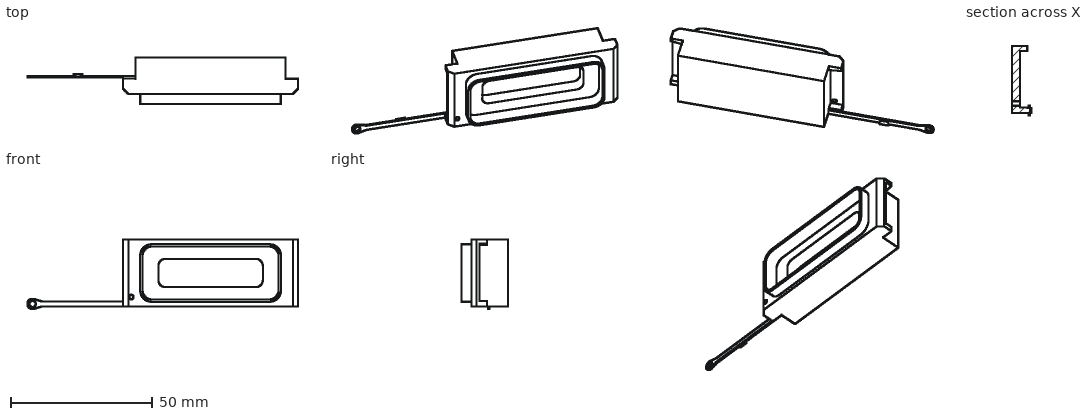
import cadquery as cq
import math

height = 23.8
flange_width = 62.0
flange_thickness = 5.5
flange_chamfer = 1.9
body_width = 53.2
body_back = 13.0

collar_projection = 3.5
collar_width = 49.85
collar_height = 20.4
collar_radius = 4.1
collar_wall = 0.85
recess_depth = 5.05
window_width = 37.0
window_height = 10.0
window_radius = 2.5
window_depth = 4.8

pocket_depth = 2.6
pocket_margin = 2.05
pocket_mouth_margin = 1.4

lace_hole_diameter = 1.5
lace_hole_x = -28.05
lace_hole_z = 3.4

strap_length = 33.85
strap_height = 1.9
strap_front = 5.9
strap_back = 6.45
eyelet_radius = 1.82
eyelet_hole_diameter = 2.2
eyelet_neck_length = 3.3

stud_offset = 15.95
stud_base_width = 1.8
stud_top_width = 3.3
stud_projection = 0.6

flange_left = -flange_width / 2
body_left = -body_width / 2
mid_z = height / 2
strap_mid_z = strap_height / 2
eyelet_x = flange_left - strap_length + eyelet_radius


def rounded_block(width, block_height, radius, front, back):
    """Block centred on the flange face, rounded at its four Y-parallel edges."""
    block = cq.Workplane("XY").box(width, back - front, block_height)
    block = block.edges("|Y").fillet(radius)
    return block.translate((0, (front + back) / 2, mid_z))


def y_cylinder(x, z, radius, front, back):
    """Cylinder along Y from front to back."""
    base = cq.Workplane("XZ", origin=(x, front, z))
    return base.circle(radius).extrude(-(back - front))


def make_block():
    half_flange = flange_width / 2
    half_body = body_width / 2
    outline = [
        (half_flange - flange_chamfer, 0),
        (half_flange, flange_chamfer),
        (half_flange, flange_thickness),
        (half_body, flange_thickness),
        (half_body, body_back),
    ]
    mirrored = [(-x, y) for x, y in reversed(outline)]
    return cq.Workplane("XY").polyline(outline + mirrored).close().extrude(height)


def make_pocket():
    """Left flange pocket; its roof rises towards the outer end."""
    roof_z = height - pocket_margin
    mouth_z = height - pocket_mouth_margin
    outline = [
        (flange_left, pocket_margin),
        (body_left, pocket_margin),
        (body_left, roof_z),
        (flange_left, mouth_z),
    ]
    base = cq.Workplane("XZ", origin=(0, flange_thickness - pocket_depth, 0))
    return base.polyline(outline).close().extrude(-pocket_depth)


def make_collar():
    return rounded_block(collar_width, collar_height, collar_radius, -collar_projection, 0)


def make_recess():
    """Stepped recess: the collar's inside, then a smaller window in its floor."""
    recess_floor = recess_depth - collar_projection
    recess = rounded_block(
        collar_width - 2 * collar_wall,
        collar_height - 2 * collar_wall,
        collar_radius - collar_wall,
        -collar_projection,
        recess_floor,
    )
    window_floor = recess_floor + window_depth
    window = rounded_block(window_width, window_height, window_radius, recess_floor, window_floor)
    return recess.union(window)


def make_eyelet_neck():
    """Taper whose sides leave the eyelet tangentially and meet the strap edges."""
    reach = math.hypot(eyelet_neck_length, strap_mid_z)
    tangent_angle = math.atan2(strap_mid_z, eyelet_neck_length) + math.acos(eyelet_radius / reach)
    tangent_x = eyelet_x + eyelet_radius * math.cos(tangent_angle)
    tangent_rise = eyelet_radius * math.sin(tangent_angle)
    neck_end_x = eyelet_x + eyelet_neck_length
    outline = [
        (tangent_x, strap_mid_z - tangent_rise),
        (neck_end_x, 0),
        (neck_end_x, strap_height),
        (tangent_x, strap_mid_z + tangent_rise),
    ]
    base = cq.Workplane("XZ", origin=(0, strap_front, 0))
    return base.polyline(outline).close().extrude(-(strap_back - strap_front))


def make_stud():
    stud_x = flange_left - stud_offset
    stud_back = strap_back + stud_projection
    outline = [
        (stud_x - stud_base_width / 2, strap_back),
        (stud_x + stud_base_width / 2, strap_back),
        (stud_x + stud_top_width / 2, stud_back),
        (stud_x - stud_top_width / 2, stud_back),
    ]
    return cq.Workplane("XY").polyline(outline).close().extrude(strap_height)


def make_strap():
    """Strap from the eyelet to the body, thickened where it sits on the flange."""
    outline = [
        (eyelet_x, strap_front),
        (flange_left, strap_front),
        (flange_left, flange_thickness),
        (body_left, flange_thickness),
        (body_left, strap_back),
        (eyelet_x, strap_back),
    ]
    strap = cq.Workplane("XY").polyline(outline).close().extrude(strap_height)
    strap = strap.union(y_cylinder(eyelet_x, strap_mid_z, eyelet_radius, strap_front, strap_back))
    strap = strap.union(make_eyelet_neck()).union(make_stud())
    eyelet_hole = y_cylinder(eyelet_x, strap_mid_z, eyelet_hole_diameter / 2, strap_front, strap_back)
    return strap.cut(eyelet_hole)


left_pocket = make_pocket()
right_pocket = left_pocket.mirror("YZ")
lace_hole = y_cylinder(lace_hole_x, lace_hole_z, lace_hole_diameter / 2, 0, flange_thickness)

result = make_block().union(make_collar()).cut(make_recess())
result = result.cut(left_pocket).cut(right_pocket).cut(lace_hole)
result = result.union(make_strap())